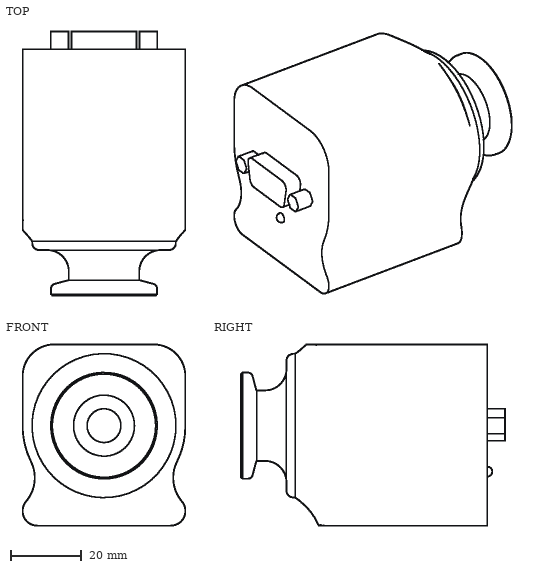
import cadquery as cq
import math


half_width = 46.0 / 2
top_z = 22.95
bottom_z = -28.25
top_corner_radius = 9.0
foot_corner_radius = 4.2
waist_radius = 10.3
rim_fillet = 0.4

collar_radius = 40.6 / 2
collar_front = -56.7
collar_land = 0.45
collar_fillet = 2.0
flare_radius = 17.5
flare_outer_radius = 35.0

flare_inner_y = collar_front + collar_fillet + collar_land
flare_reach = flare_outer_radius - collar_radius
flare_centre_y = flare_inner_y - math.sqrt(flare_radius**2 - flare_reach**2)
flare_mid_y = flare_centre_y + math.sqrt(flare_radius**2 - (flare_reach / 2) ** 2)
flare_outer_y = flare_centre_y + flare_radius

neck_radius = 10.0
neck_fillet = 5.95
flange_radius = 30.0 / 2
flange_front = -69.5
flange_back = -65.1
flange_cone_angle = 15
flange_fillet = 1.5
flange_chamfer = 0.45
bore_radius = 17.2 / 2
bore_depth = 9.0
bore_floor_radius = 4.8
bore_cone_angle = 45

connector_length = 5.0
shell_top_z = 4.8
shell_bottom_z = -4.3
shell_top_half_width = 9.6
shell_side_angle = 10
shell_corner_radius = 2.0
standoff_x = 12.5
standoff_across_flats = 4.55
standoff_edge_radius = 0.5
lamp_radius = 2.8 / 2
lamp_z = -13.0


def toward(start, end, distance):
    """Point at a distance from start on the line to end."""
    ratio = distance / math.dist(start, end)
    return tuple(a + (b - a) * ratio for a, b in zip(start, end))


def mirrored(point):
    return (-point[0], point[1])


def housing_outline():
    """Closed outline with tangent arcs, as a wire on the XZ plane."""
    axis = (0, 0)
    foot = (half_width - foot_corner_radius, bottom_z + foot_corner_radius)

    to_axis = half_width + waist_radius
    to_foot = foot_corner_radius + waist_radius
    span = math.dist(axis, foot)
    along = (to_axis**2 - to_foot**2 + span**2) / (2 * span)
    aside = math.sqrt(to_axis**2 - along**2)
    unit = (foot[0] / span, foot[1] / span)
    waist = (along * unit[0] - aside * unit[1], along * unit[1] + aside * unit[0])

    side_to_waist = toward(axis, waist, half_width)
    waist_to_foot = toward(foot, waist, foot_corner_radius)
    shoulder_z = top_z - top_corner_radius
    shoulder_x = half_width - top_corner_radius
    side_angle = math.atan2(side_to_waist[1], side_to_waist[0]) / 2
    side_mid = (half_width * math.cos(side_angle), half_width * math.sin(side_angle))
    chord_mid = tuple((a + b) / 2 for a, b in zip(side_to_waist, waist_to_foot))
    waist_mid = toward(waist, chord_mid, waist_radius)
    foot_mid = toward(foot, (half_width, bottom_z), foot_corner_radius)
    shoulder_mid = toward((shoulder_x, shoulder_z), (half_width, top_z), top_corner_radius)

    return (
        cq.Workplane("XZ")
        .moveTo(-shoulder_x, top_z)
        .lineTo(shoulder_x, top_z)
        .threePointArc(shoulder_mid, (half_width, shoulder_z))
        .lineTo(half_width, 0)
        .threePointArc(side_mid, side_to_waist)
        .threePointArc(waist_mid, waist_to_foot)
        .threePointArc(foot_mid, (foot[0], bottom_z))
        .lineTo(-foot[0], bottom_z)
        .threePointArc(mirrored(foot_mid), mirrored(waist_to_foot))
        .threePointArc(mirrored(waist_mid), mirrored(side_to_waist))
        .threePointArc(mirrored(side_mid), (-half_width, 0))
        .lineTo(-half_width, shoulder_z)
        .threePointArc(mirrored(shoulder_mid), (-shoulder_x, top_z))
        .close()
    )


def revolve_about_y(profile):
    """Turn a closed (radius, Y) profile on the XY plane about the Y axis."""
    return profile.revolve(360, (0, 0, 0), (0, 1, 0))


def make_envelope():
    """Turned shape of the whole front: flared face, collar, neck and clamping flange."""
    bevel = 1 - math.sqrt(0.5)
    outer_radius = flare_outer_radius + half_width

    slope = math.radians(flange_cone_angle)
    rim_centre_radius = flange_radius - flange_fillet
    cone_end_radius = rim_centre_radius + flange_fillet * math.sin(slope)
    cone_end_y = flange_back - (cone_end_radius - neck_radius) * math.tan(slope)
    rim_centre_y = cone_end_y - flange_fillet * math.cos(slope)
    rim_mid_angle = (math.pi / 2 - slope) / 2

    return revolve_about_y(
        cq.Workplane("XY")
        .lineTo(outer_radius, 0)
        .lineTo(outer_radius, flare_outer_y)
        .lineTo(flare_outer_radius, flare_outer_y)
        .threePointArc(
            (flare_outer_radius - flare_reach / 2, flare_mid_y),
            (collar_radius, flare_inner_y),
        )
        .lineTo(collar_radius, collar_front + collar_fillet)
        .threePointArc(
            (collar_radius - collar_fillet * bevel, collar_front + collar_fillet * bevel),
            (collar_radius - collar_fillet, collar_front),
        )
        .lineTo(neck_radius + neck_fillet, collar_front)
        .threePointArc(
            (neck_radius + neck_fillet * bevel, collar_front - neck_fillet * bevel),
            (neck_radius, collar_front - neck_fillet),
        )
        .lineTo(neck_radius, flange_back)
        .lineTo(cone_end_radius, cone_end_y)
        .threePointArc(
            (
                rim_centre_radius + flange_fillet * math.cos(rim_mid_angle),
                rim_centre_y + flange_fillet * math.sin(rim_mid_angle),
            ),
            (flange_radius, rim_centre_y),
        )
        .lineTo(flange_radius, flange_front + flange_chamfer)
        .lineTo(flange_radius - flange_chamfer, flange_front)
        .lineTo(0, flange_front)
        .close()
    )


def make_body():
    """Housing and port in one piece, with a small rounded rim around the flared face."""
    body = housing_outline().extrude(-flange_front).intersect(make_envelope())
    rim_zone = cq.selectors.BoxSelector(
        (-flare_outer_radius, flare_inner_y + rim_fillet, -flare_outer_radius),
        (flare_outer_radius, flare_outer_y + rim_fillet, flare_outer_radius),
        boundingbox=True,
    )
    return body.edges(rim_zone).fillet(rim_fillet)


def make_bore():
    """Blind port bore with a conical end."""
    cylinder_end = flange_front + bore_depth
    cone_length = (bore_radius - bore_floor_radius) / math.tan(math.radians(bore_cone_angle))
    return revolve_about_y(
        cq.Workplane("XY")
        .moveTo(0, flange_front)
        .lineTo(bore_radius, flange_front)
        .lineTo(bore_radius, cylinder_end)
        .lineTo(bore_floor_radius, cylinder_end + cone_length)
        .lineTo(0, cylinder_end + cone_length)
        .close()
    )


def make_connector_shell():
    """D-shaped connector shell, wider at the top."""
    taper = (shell_top_z - shell_bottom_z) * math.tan(math.radians(shell_side_angle))
    bottom_half_width = shell_top_half_width - taper
    return (
        cq.Workplane("XZ")
        .polyline([
            (-shell_top_half_width, shell_top_z),
            (shell_top_half_width, shell_top_z),
            (bottom_half_width, shell_bottom_z),
            (-bottom_half_width, shell_bottom_z),
        ])
        .close()
        .extrude(-connector_length)
        .edges("|Y")
        .fillet(shell_corner_radius)
    )


def make_standoffs():
    """Hexagonal standoffs on both sides of the connector, corners pointing along X."""
    across_corners = standoff_across_flats / math.cos(math.radians(30))
    return (
        cq.Workplane("XZ")
        .pushPoints([(-standoff_x, 0), (standoff_x, 0)])
        .polygon(6, across_corners)
        .extrude(-connector_length)
        .edges("|Y")
        .fillet(standoff_edge_radius)
    )


def make_lamp():
    """Indicator lamp, a ball whose front half is sunk in the housing."""
    return cq.Workplane("XY").sphere(lamp_radius).translate((0, 0, lamp_z))


result = (
    make_body()
    .cut(make_bore())
    .union(make_connector_shell())
    .union(make_standoffs())
    .union(make_lamp())
)